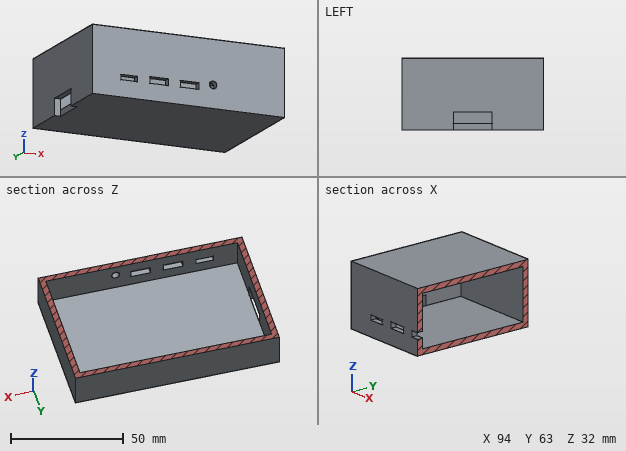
import cadquery as cq

length = 94.0
width = 63.0
height = 32.0
wall = 3.0
floor_thickness = 3.0

notch_width = 17.1
notch_height = 8.0

port_bottom = 8.0
power_left = 13.9
power_width = 8.1
power_height = 2.4
hdmi_lefts = (28.1, 43.05)
hdmi_width = 8.9
hdmi_height = 3.1
audio_x = 59.0
audio_z = 10.9
audio_diameter = 3.5


def corner_box(x_size, y_size, z_size, corner):
    """Box given by its sizes and its lowest corner."""
    return cq.Workplane("XY").box(x_size, y_size, z_size, centered=False).translate(corner)


def hollow_case():
    outside = corner_box(length, width, height, (0, 0, 0))
    cavity_height = height - floor_thickness - wall
    cavity = corner_box(
        length - 2 * wall, width - 2 * wall, cavity_height, (wall, wall, floor_thickness)
    )
    return outside.cut(cavity)


def card_notch():
    return corner_box(wall, notch_width, notch_height, (0, (width - notch_width) / 2, 0))


def rectangular_port(left, port_width, port_height):
    return corner_box(port_width, wall, port_height, (left, 0, port_bottom))


def audio_hole():
    return (
        cq.Workplane("XZ")
        .center(audio_x, audio_z)
        .circle(audio_diameter / 2)
        .extrude(-wall)
    )


result = hollow_case().cut(card_notch())
result = result.cut(rectangular_port(power_left, power_width, power_height))
for hdmi_left in hdmi_lefts:
    result = result.cut(rectangular_port(hdmi_left, hdmi_width, hdmi_height))
result = result.cut(audio_hole())